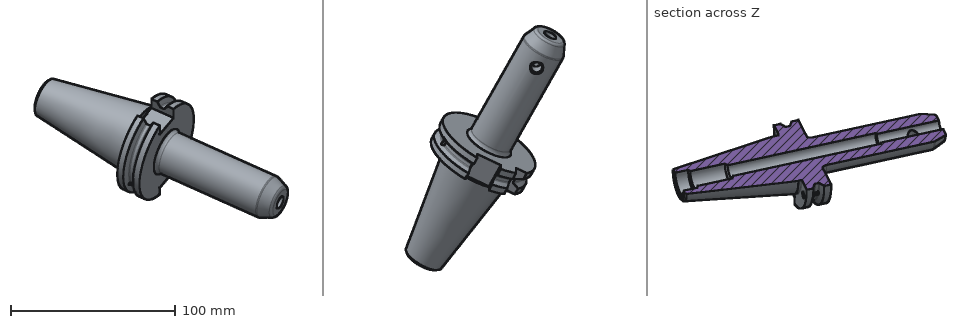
import cadquery as cq
import math


TAPER_RATIO = 7 / 24
GAUGE_DIAMETER = 44.45
TAPER_LENGTH = 68.4
TAPER_END_CHAMFER = 1.1

TAPER_OVERRUN = 1.0
NECK_DIAMETER = 44.25
NECK_START = 1.6
NECK_STEP_FILLET = 1.2
NECK_ROOT_FILLET = 0.3

FLANGE_DIAMETER = 63.55
FLANGE_START = 3.2
FLANGE_END = 19.1
GROOVE_CENTER = 11.0
GROOVE_WIDTH = 7.0
GROOVE_FLOOR_DIAMETER = 56.25
GROOVE_HALF_ANGLE = 30
GROOVE_FLOOR_FILLET = 0.7

SLOT_WIDTH = 16.1
UPPER_SLOT_FLOOR = 22.8
LOWER_SLOT_FLOOR = 25.0
NOTCH_OFFSET = 18.5

NOSE_DIAMETER = 27.5
NOSE_END = 100.0
ROOT_LENGTH = 3.0
ROOT_HEIGHT = 1.3
NOSE_CONE_START = 91.3
NOSE_CONE_ANGLE = 23
NOSE_SHOULDER_FILLET = 2.0
NOSE_TIP_FILLET = 2.2

DRILL_POINT_ANGLE = 118

PILOT_DIAMETER = 17.0
PILOT_DEPTH = 9.0
PILOT_CHAMFER = 0.85
THREAD_BORE_DIAMETER = 14.0
THREAD_BORE_DEPTH = 32.0
CHANNEL_DIAMETER = 10.0
TOOL_BORE_DIAMETER = 8.0
TOOL_BORE_DEPTH = 40.0

SCREW_DISTANCE = 18.0
SCREW_HOLE_DIAMETER = 6.65
SCREW_MOUTH_DIAMETER = 8.0
SCREW_MOUTH_DEPTH = 1.35

COOLANT_HOLE_DIAMETER = 4.2
COOLANT_HOLE_RADIUS = 27.0
COOLANT_HOLE_ANGLE = 20
COOLANT_HOLE_END = 12.2
COOLANT_CHANNEL_POSITION = 11.8
COOLANT_CHANNEL_DIAMETER = 2.5


def cylinder(diameter, start, end):
    """Solid cylinder on the X axis between two X positions."""
    return cq.Workplane("YZ", origin=(start, 0, 0)).circle(diameter / 2).extrude(end - start)


def revolve_about_x(outline):
    """Revolve a closed XY outline about the X axis."""
    return outline.close().revolve(360, (0, 0, 0), (1, 0, 0))


def make_taper():
    """Taper shank with its end chamfer and the neck next to the flange."""
    gauge_radius = GAUGE_DIAMETER / 2
    small_radius = gauge_radius - TAPER_LENGTH * TAPER_RATIO / 2
    neck_radius = NECK_DIAMETER / 2
    chamfer_rise = TAPER_END_CHAMFER * TAPER_RATIO / 2
    outline = (
        cq.Workplane("XY")
        .moveTo(-TAPER_LENGTH, 0)
        .lineTo(-TAPER_LENGTH, small_radius - TAPER_END_CHAMFER)
        .lineTo(-TAPER_LENGTH + TAPER_END_CHAMFER, small_radius + chamfer_rise)
        .lineTo(TAPER_OVERRUN, gauge_radius + TAPER_OVERRUN * TAPER_RATIO / 2)
        .lineTo(NECK_START, neck_radius)
        .lineTo(FLANGE_START - NECK_ROOT_FILLET, neck_radius)
        .radiusArc((FLANGE_START, neck_radius + NECK_ROOT_FILLET), -NECK_ROOT_FILLET)
        .lineTo(FLANGE_START, 0)
    )
    step_edge = cq.selectors.NearestToPointSelector((NECK_START, 0, 0))
    return revolve_about_x(outline).edges(step_edge).fillet(NECK_STEP_FILLET)


def make_groove_cutter():
    """Ring that cuts the V groove with its filleted floor."""
    flange_radius = FLANGE_DIAMETER / 2
    floor_radius = GROOVE_FLOOR_DIAMETER / 2
    slope = math.tan(math.radians(GROOVE_HALF_ANGLE))
    top_half = GROOVE_WIDTH / 2
    floor_half = top_half - (flange_radius - floor_radius) * slope
    outline = (
        cq.Workplane("XY")
        .moveTo(GROOVE_CENTER - top_half, flange_radius)
        .lineTo(GROOVE_CENTER - floor_half, floor_radius)
        .lineTo(GROOVE_CENTER + floor_half, floor_radius)
        .lineTo(GROOVE_CENTER + top_half, flange_radius)
    )
    floor_edges = cq.selectors.RadiusNthSelector(0)
    return revolve_about_x(outline).edges(floor_edges).fillet(GROOVE_FLOOR_FILLET)


def make_flange():
    """Grooved flange with two drive slots and an orientation notch."""
    flange = cylinder(FLANGE_DIAMETER, FLANGE_START, FLANGE_END).cut(make_groove_cutter())
    middle = (FLANGE_START + FLANGE_END) / 2
    thickness = FLANGE_END - FLANGE_START
    reach = FLANGE_DIAMETER / 2
    upper_slot = cq.Workplane("XY", origin=(middle, 0, UPPER_SLOT_FLOOR)).rect(thickness, SLOT_WIDTH)
    lower_slot = cq.Workplane("XY", origin=(middle, 0, -LOWER_SLOT_FLOOR)).rect(thickness, SLOT_WIDTH)
    notch = cq.Workplane("XY").box(thickness, reach, reach, centered=(True, False, False))
    notch = notch.translate((middle, NOTCH_OFFSET, -NOTCH_OFFSET - reach))
    return flange.cut(upper_slot.extrude(reach)).cut(lower_slot.extrude(-reach)).cut(notch)


def make_nose():
    """Cylindrical nose with a rounded root and a filleted conical tip."""
    nose_radius = NOSE_DIAMETER / 2
    root_radius = (ROOT_LENGTH**2 + ROOT_HEIGHT**2) / (2 * ROOT_HEIGHT)
    half_sweep = math.asin(ROOT_LENGTH / root_radius) / 2
    root_end = FLANGE_END + ROOT_LENGTH
    root_middle = (
        root_end - root_radius * math.sin(half_sweep),
        nose_radius + root_radius * (1 - math.cos(half_sweep)),
    )
    tip_radius = nose_radius - (NOSE_END - NOSE_CONE_START) * math.tan(math.radians(NOSE_CONE_ANGLE))
    outline = (
        cq.Workplane("XY")
        .moveTo(FLANGE_END, 0)
        .lineTo(FLANGE_END, nose_radius + ROOT_HEIGHT)
        .threePointArc(root_middle, (root_end, nose_radius))
        .lineTo(NOSE_CONE_START, nose_radius)
        .lineTo(NOSE_END, tip_radius)
        .lineTo(NOSE_END, 0)
    )
    nose = revolve_about_x(outline)
    nose = nose.faces(">X").edges().fillet(NOSE_TIP_FILLET)
    shoulder_edge = cq.selectors.NearestToPointSelector((NOSE_CONE_START, 0, 0))
    return nose.edges(shoulder_edge).fillet(NOSE_SHOULDER_FILLET)


def make_bore():
    """Stepped bore running through the whole part."""
    pilot_radius = PILOT_DIAMETER / 2
    thread_radius = THREAD_BORE_DIAMETER / 2
    channel_radius = CHANNEL_DIAMETER / 2
    tool_radius = TOOL_BORE_DIAMETER / 2
    drill_slope = math.tan(math.radians(DRILL_POINT_ANGLE / 2))
    pilot_end = PILOT_DEPTH - TAPER_LENGTH
    thread_end = THREAD_BORE_DEPTH - TAPER_LENGTH
    tool_bore_start = NOSE_END - TOOL_BORE_DEPTH
    outline = (
        cq.Workplane("XY")
        .moveTo(-TAPER_LENGTH, 0)
        .lineTo(-TAPER_LENGTH, pilot_radius + PILOT_CHAMFER)
        .lineTo(-TAPER_LENGTH + PILOT_CHAMFER, pilot_radius)
        .lineTo(pilot_end, pilot_radius)
        .lineTo(pilot_end + (pilot_radius - thread_radius) / drill_slope, thread_radius)
        .lineTo(thread_end, thread_radius)
        .lineTo(thread_end + (thread_radius - channel_radius) / drill_slope, channel_radius)
        .lineTo(tool_bore_start - (channel_radius - tool_radius) / drill_slope, channel_radius)
        .lineTo(tool_bore_start, tool_radius)
        .lineTo(NOSE_END, tool_radius)
        .lineTo(NOSE_END, 0)
    )
    return revolve_about_x(outline)


def make_screw_hole():
    """Clamping screw hole with a wider mouth, reaching the tool bore."""
    nose_radius = NOSE_DIAMETER / 2
    base = cq.Workplane("XY", origin=(NOSE_END - SCREW_DISTANCE, 0, -nose_radius))
    hole = base.circle(SCREW_HOLE_DIAMETER / 2).extrude(nose_radius)
    mouth = base.circle(SCREW_MOUTH_DIAMETER / 2).extrude(SCREW_MOUTH_DEPTH)
    return hole.union(mouth)


def make_coolant_hole(angle):
    """Blind hole in the flange face plus its radial channel, turned about X by angle."""
    hole_radius = COOLANT_HOLE_DIAMETER / 2
    point_length = hole_radius / math.tan(math.radians(DRILL_POINT_ANGLE / 2))
    hole = (
        cq.Workplane("XY")
        .moveTo(FLANGE_START, COOLANT_HOLE_RADIUS)
        .lineTo(FLANGE_START, COOLANT_HOLE_RADIUS + hole_radius)
        .lineTo(COOLANT_HOLE_END, COOLANT_HOLE_RADIUS + hole_radius)
        .lineTo(COOLANT_HOLE_END + point_length, COOLANT_HOLE_RADIUS)
        .close()
        .revolve(360, (0, COOLANT_HOLE_RADIUS, 0), (1, COOLANT_HOLE_RADIUS, 0))
    )
    channel = (
        cq.Workplane("XZ", origin=(COOLANT_CHANNEL_POSITION, 0, 0))
        .circle(COOLANT_CHANNEL_DIAMETER / 2)
        .extrude(-COOLANT_HOLE_RADIUS)
    )
    return hole.union(channel).rotate((0, 0, 0), (1, 0, 0), angle)


result = make_taper().union(make_flange()).union(make_nose())
result = result.cut(make_bore()).cut(make_screw_hole())
for angle in (COOLANT_HOLE_ANGLE, COOLANT_HOLE_ANGLE + 180):
    result = result.cut(make_coolant_hole(angle))